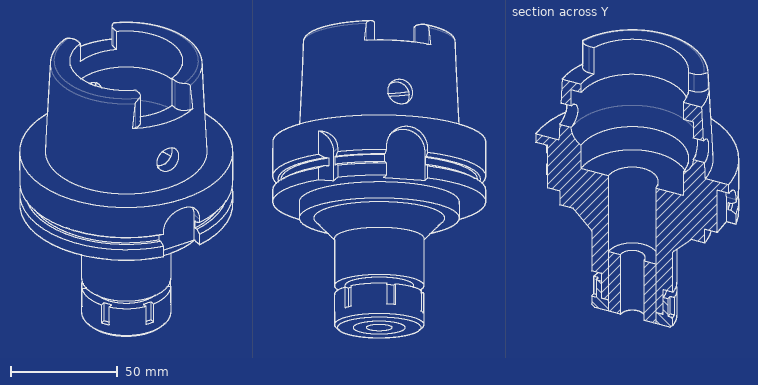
import cadquery as cq
import math

TOP = 140.0
UPPER_BORE_BOTTOM = 120.1
CROSS_HOLE_Z = 105.0
CHAMBER_WALL_BOTTOM = 99.0
LOWER_BORE_FLOOR = 77.1
FLANGE_TOP = 90.0
GROOVE_CENTRE_Z = 70.0
FLANGE_BOTTOM = 60.9
COLLAR_BOTTOM = 53.0
CONE_BOTTOM = 43.1
COLLET_TOP = 34.0
SHANK_BOTTOM = 20.3
NUT_TOP = 16.1
NECK_BOTTOM = 6.2

TAPER_BASE_RADIUS = 38.0
TAPER_SLOPE = 0.048
RIM_ROUND = 1.8
BORE_RADIUS = 26.5
CHAMBER_RADIUS = 31.5
CHAMBER_FLOOR_ROUND = 10.0
CROSS_HOLE_RADIUS = 6.0

NOTCH_WIDTH = 20.0
LUG_HALF_LENGTH = 32.2
LUG_ROUND = 5.0
LEFT_NOTCH_DEPTH = 10.0
RIGHT_NOTCH_DEPTH = 15.0

FLANGE_RADIUS = 50.0
GROOVE_RADIUS = 46.0
GROOVE_FLAT_RADIUS = 47.5
GROOVE_FLOOR_WIDTH = 3.8
GROOVE_MOUTH_WIDTH = 6.6
SLOT_WIDTH = 20.0
SLOT_TOP = 85.0
DRIVE_SLOT_FLOOR_X = 44.0
SIDE_SLOT_FLOOR_X = 31.9
SIDE_SLOT_Y = 41.0

COLLAR_RADIUS = 37.5
CONE_TOP_RADIUS = 30.7
SHANK_RADIUS = 21.0
NECK_RADIUS = 16.1
COLLET_SEAT_RADIUS = 12.2

NUT_RADIUS = SHANK_RADIUS
NUT_CHAMFER = 1.4
NUT_SLOT_COUNT = 6
NUT_SLOT_WIDTH = 4.0
NUT_SLOT_DEPTH = 2.4
NUT_SLOT_LENGTH = 10.0

COLLET_BORE_RADIUS = 6.0


def cylinder(radius, bottom, top):
    return cq.Workplane("XY").workplane(offset=bottom).circle(radius).extrude(top - bottom)


def turned_blank():
    """Solid of revolution with the whole outer outline of the holder."""
    rim_radius = TAPER_BASE_RADIUS - TAPER_SLOPE * (TOP - FLANGE_TOP)
    taper = (
        cq.Workplane("XZ")
        .moveTo(0, FLANGE_TOP)
        .lineTo(TAPER_BASE_RADIUS, FLANGE_TOP)
        .lineTo(rim_radius, TOP)
        .lineTo(0, TOP)
        .close()
        .revolve(360, (0, 0), (0, 1))
        .faces(">Z")
        .edges()
        .fillet(RIM_ROUND)
    )
    half_floor = GROOVE_FLOOR_WIDTH / 2
    half_mouth = GROOVE_MOUTH_WIDTH / 2
    body = (
        cq.Workplane("XZ")
        .moveTo(0, NECK_BOTTOM)
        .lineTo(NECK_RADIUS, NECK_BOTTOM)
        .lineTo(NECK_RADIUS, SHANK_BOTTOM)
        .lineTo(SHANK_RADIUS, SHANK_BOTTOM)
        .lineTo(SHANK_RADIUS, CONE_BOTTOM)
        .lineTo(CONE_TOP_RADIUS, COLLAR_BOTTOM)
        .lineTo(COLLAR_RADIUS, COLLAR_BOTTOM)
        .lineTo(COLLAR_RADIUS, FLANGE_BOTTOM)
        .lineTo(FLANGE_RADIUS, FLANGE_BOTTOM)
        .lineTo(FLANGE_RADIUS, GROOVE_CENTRE_Z - half_mouth)
        .lineTo(GROOVE_FLAT_RADIUS, GROOVE_CENTRE_Z - half_floor)
        .lineTo(GROOVE_RADIUS, GROOVE_CENTRE_Z - half_floor)
        .lineTo(GROOVE_RADIUS, GROOVE_CENTRE_Z + half_floor)
        .lineTo(GROOVE_FLAT_RADIUS, GROOVE_CENTRE_Z + half_floor)
        .lineTo(FLANGE_RADIUS, GROOVE_CENTRE_Z + half_mouth)
        .lineTo(FLANGE_RADIUS, FLANGE_TOP)
        .lineTo(0, FLANGE_TOP)
        .close()
        .revolve(360, (0, 0), (0, 1))
    )
    return body.union(taper)


def socket():
    """Stepped cavity along the axis, from the rim down through the neck,
    widened into a round-floored chamber below the upper bore.
    """
    chamber_floor = CHAMBER_WALL_BOTTOM - CHAMBER_FLOOR_ROUND
    chamber = cylinder(CHAMBER_RADIUS, chamber_floor, UPPER_BORE_BOTTOM)
    chamber = chamber.faces("<Z").edges().fillet(CHAMBER_FLOOR_ROUND)
    bore = cylinder(BORE_RADIUS, LOWER_BORE_FLOOR, TOP)
    seat = cylinder(COLLET_SEAT_RADIUS, NECK_BOTTOM, LOWER_BORE_FLOOR)
    return chamber.union(bore).union(seat)


def rim_notch(side, depth):
    """Notch across the rim on one side (-1 or 1 along X), with rounded lug corners."""
    half_width = NOTCH_WIDTH / 2
    shoulder = half_width + LUG_ROUND
    outer = FLANGE_RADIUS
    lug_side = side * LUG_HALF_LENGTH
    round_start = side * (LUG_HALF_LENGTH - LUG_ROUND)
    round_mid_x = round_start + side * LUG_ROUND * math.sqrt(0.5)
    round_mid_y = shoulder - LUG_ROUND * math.sqrt(0.5)
    return (
        cq.Workplane("XY")
        .workplane(offset=TOP - depth)
        .moveTo(0, half_width)
        .lineTo(round_start, half_width)
        .threePointArc((round_mid_x, round_mid_y), (lug_side, shoulder))
        .lineTo(lug_side, outer)
        .lineTo(side * outer, outer)
        .lineTo(side * outer, -outer)
        .lineTo(lug_side, -outer)
        .lineTo(lug_side, -shoulder)
        .threePointArc((round_mid_x, -round_mid_y), (round_start, -half_width))
        .lineTo(0, -half_width)
        .close()
        .extrude(depth)
    )


def flange_slot(side, floor_x, centre_y):
    """Round-topped slot milled along X into the flange, open at the flange bottom."""
    half_width = SLOT_WIDTH / 2
    arc_z = SLOT_TOP - half_width
    return (
        cq.Workplane("YZ")
        .workplane(offset=side * floor_x)
        .moveTo(centre_y - half_width, FLANGE_BOTTOM)
        .lineTo(centre_y - half_width, arc_z)
        .threePointArc((centre_y, SLOT_TOP), (centre_y + half_width, arc_z))
        .lineTo(centre_y + half_width, FLANGE_BOTTOM)
        .close()
        .extrude(side * FLANGE_RADIUS)
    )


def make_holder():
    cross_hole = (
        cq.Workplane("YZ")
        .center(0, CROSS_HOLE_Z)
        .circle(CROSS_HOLE_RADIUS)
        .extrude(FLANGE_RADIUS, both=True)
    )
    body = turned_blank().cut(socket()).cut(cross_hole)
    for side, notch_depth in ((-1, LEFT_NOTCH_DEPTH), (1, RIGHT_NOTCH_DEPTH)):
        body = body.cut(rim_notch(side, notch_depth))
        body = body.cut(flange_slot(side, DRIVE_SLOT_FLOOR_X, 0))
    return body.cut(flange_slot(-1, SIDE_SLOT_FLOOR_X, SIDE_SLOT_Y))


def make_nut():
    """Ring screwed over the neck, with spanner slots around its upper part."""
    body = cylinder(NUT_RADIUS, 0, NUT_TOP).faces("<Z").edges().chamfer(NUT_CHAMFER)
    body = body.cut(cylinder(NECK_RADIUS, NECK_BOTTOM, NUT_TOP))
    body = body.cut(cylinder(COLLET_SEAT_RADIUS, 0, NECK_BOTTOM))
    slot_bottom = NUT_TOP - NUT_SLOT_LENGTH
    slot = cq.Workplane("XY").box(
        NUT_RADIUS, NUT_SLOT_WIDTH, NUT_SLOT_LENGTH, centered=(False, True, False)
    )
    slot = slot.translate((NUT_RADIUS - NUT_SLOT_DEPTH, 0, slot_bottom))
    for index in range(NUT_SLOT_COUNT):
        angle = index * 360 / NUT_SLOT_COUNT
        body = body.cut(slot.rotate((0, 0, 0), (0, 0, 1), angle))
    return body


def make_collet():
    """Plain sleeve seated in the stem and flush with the front face of the nut."""
    return cylinder(COLLET_SEAT_RADIUS, 0, COLLET_TOP).cut(
        cylinder(COLLET_BORE_RADIUS, 0, COLLET_TOP)
    )


holder = make_holder()
nut = make_nut()
collet = make_collet()

result = cq.Compound.makeCompound([holder.val(), nut.val(), collet.val()])